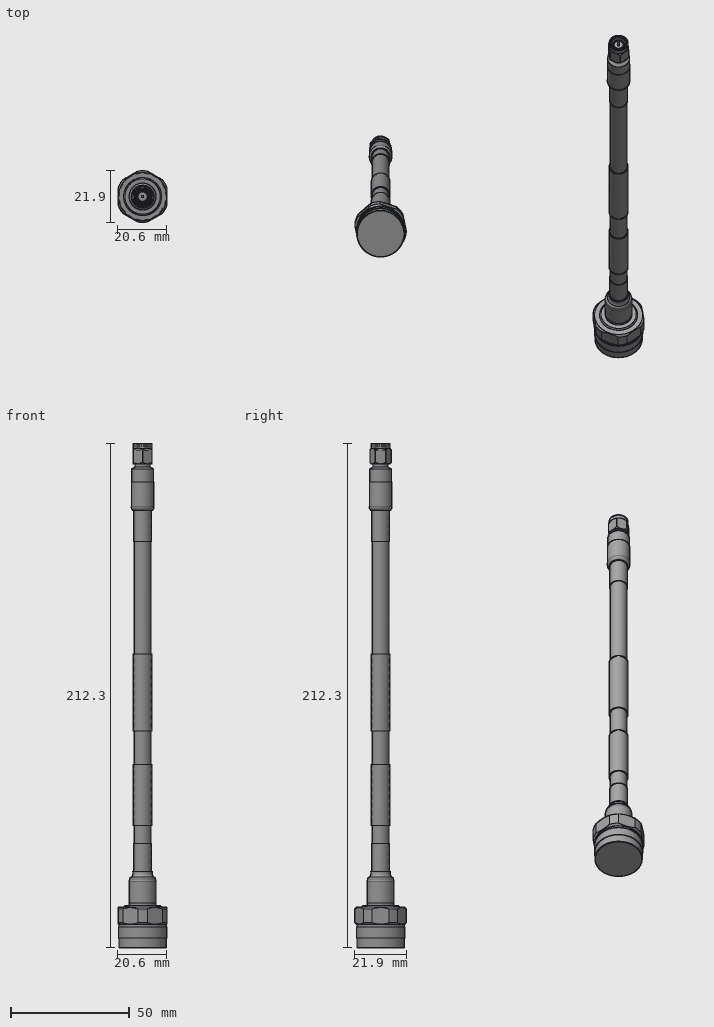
import cadquery as cq
import math


TOTAL_LENGTH = 212.32
ARC_MIDDLE = math.sqrt(0.5)

CABLE_RADIUS = 3.55
BOOT_RADIUS = 3.8
MARKER_RADIUS = 4.0
CABLE_BOTTOM = 32.2
CABLE_TOP = 184.0
LOWER_BOOT_LENGTH = 11.6
UPPER_BOOT_LENGTH = 12.9
MARKER_SPANS = [(51.5, 77.1), (91.2, 123.7)]

N_SKIRT_RADIUS = 10.0
N_SKIRT_END_CHAMFER = 0.2
N_BAND_RADIUS = 10.2
N_BAND_BOTTOM = 4.2
N_BAND_TOP = 8.7
N_NUT_BOTTOM = 9.8
N_NUT_TOP = 17.1
N_NUT_FLATS = 20.6
N_NUT_CORNER_RADIUS = 21.85 / 2
N_NUT_CHAMFER_RADIAL = 0.8
N_NUT_CHAMFER_HEIGHT = 0.75
N_COLLAR_RADIUS = 8.0
N_COLLAR_HEIGHT = 0.6
N_COLLAR_CHAMFER = 0.55
N_BARREL_RADIUS = 5.7
N_BARREL_BOTTOM = 18.8
N_BARREL_NECK_RADIUS = 5.65
N_TAPER_BOTTOM = 27.9
N_TAPER_TOP_RADIUS = 5.5
N_THROAT_RADIUS = 4.15
N_BARREL_TOP = 29.7
N_BARREL_FILLET = 0.8

SMA_REAR_RADIUS = 4.75
SMA_REAR_END_RADIUS = 4.0
SMA_REAR_END_HEIGHT = 1.8
SMA_FRONT_RADIUS = 4.65
SMA_FRONT_BOTTOM = 196.0
SMA_FRONT_TOP = 201.5
SMA_CONE_HEIGHT = 0.85
SMA_NECK_RADIUS = 3.2
SMA_NUT_FLATS = 8.0
SMA_NUT_CORNER_RADIUS = 4.55
SMA_NUT_BOTTOM = 203.7
SMA_NUT_TOP = 210.2
SMA_NUT_CHAMFER_HEIGHT = 0.6
SMA_RIM_RADIUS = 4.0
SMA_BORE_RADIUS = 3.1
SMA_BORE_CHAMFER = 0.4
SMA_BORE_DEPTH = 3.0
SMA_STEP_RADIUS = 2.7
SMA_STEP_HEIGHT = 1.0
SMA_SOCKET_RADIUS = 2.3
SMA_SOCKET_LENGTH = 2.0
SMA_DIELECTRIC_RADIUS = 2.0
SMA_DIELECTRIC_RECESS = 0.4
SMA_PIN_RADIUS = 0.46
SMA_PIN_LENGTH = 1.2


def cylinder(radius, bottom, top):
    return cq.Workplane("XY").workplane(offset=bottom).circle(radius).extrude(top - bottom)


def tube(outer_radius, bottom, top):
    """Sleeve that fits tightly on the cable."""
    return cylinder(outer_radius, bottom, top).cut(cylinder(CABLE_RADIUS, bottom, top))


def hex_nut(flats, corner_radius, bottom, top, chamfer_radial, chamfer_height):
    """Hexagon with corners on +Y and -Y, turned to corner_radius and chamfered at both ends."""
    height = top - bottom
    hexagon = (
        cq.Workplane("XY")
        .workplane(offset=bottom)
        .polygon(6, flats / math.cos(math.pi / 6))
        .extrude(height)
        .rotate((0, 0, 0), (0, 0, 1), 30)
    )
    turned = cylinder(corner_radius, bottom, top).faces("<Z or >Z").chamfer(chamfer_height, chamfer_radial)
    return hexagon.intersect(turned)


def make_n_barrel(bottom):
    """Barrel with a tapered, rounded shoulder and a flared throat under the boot."""
    shoulder_radius = N_TAPER_TOP_RADIUS - N_BARREL_FILLET
    barrel_outline = (
        cq.Workplane("XZ")
        .moveTo(0, bottom)
        .lineTo(N_BARREL_NECK_RADIUS, bottom)
        .lineTo(N_BARREL_NECK_RADIUS, N_BARREL_BOTTOM)
        .lineTo(N_BARREL_RADIUS, N_BARREL_BOTTOM)
        .lineTo(N_BARREL_RADIUS, N_TAPER_BOTTOM)
        .lineTo(N_TAPER_TOP_RADIUS, N_BARREL_TOP - N_BARREL_FILLET)
        .threePointArc(
            (
                shoulder_radius + N_BARREL_FILLET * ARC_MIDDLE,
                N_BARREL_TOP - N_BARREL_FILLET * (1 - ARC_MIDDLE),
            ),
            (shoulder_radius, N_BARREL_TOP),
        )
    )
    sweep_height = CABLE_BOTTOM - N_BARREL_TOP
    sweep_width = shoulder_radius - N_THROAT_RADIUS
    barrel_outline = (
        barrel_outline.threePointArc(
            (
                shoulder_radius - sweep_width * ARC_MIDDLE,
                N_BARREL_TOP + sweep_height * (1 - ARC_MIDDLE),
            ),
            (N_THROAT_RADIUS, CABLE_BOTTOM),
        )
        .lineTo(0, CABLE_BOTTOM)
        .close()
    )
    return barrel_outline.revolve(360, (0, 0, 0), (0, 1, 0))


def make_n_connector():
    skirt = cylinder(N_SKIRT_RADIUS, 0, N_NUT_BOTTOM).faces("<Z").chamfer(N_SKIRT_END_CHAMFER)
    band = cylinder(N_BAND_RADIUS, N_BAND_BOTTOM, N_BAND_TOP)
    nut = hex_nut(
        N_NUT_FLATS,
        N_NUT_CORNER_RADIUS,
        N_NUT_BOTTOM,
        N_NUT_TOP,
        N_NUT_CHAMFER_RADIAL,
        N_NUT_CHAMFER_HEIGHT,
    )
    collar_top = N_NUT_TOP + N_COLLAR_HEIGHT
    collar = cylinder(N_COLLAR_RADIUS, N_NUT_TOP, collar_top).faces(">Z").chamfer(N_COLLAR_CHAMFER)
    barrel = make_n_barrel(collar_top)
    return skirt.union(band).union(nut).union(collar).union(barrel)


def make_sma_rear_end():
    """Rounded end of the SMA body, drawn in to the boot."""
    end_top = CABLE_TOP + SMA_REAR_END_HEIGHT
    bulge_radius = SMA_REAR_END_RADIUS + (SMA_REAR_RADIUS - SMA_REAR_END_RADIUS) * ARC_MIDDLE
    bulge_z = end_top - SMA_REAR_END_HEIGHT * ARC_MIDDLE
    return (
        cq.Workplane("XZ")
        .moveTo(0, CABLE_TOP)
        .lineTo(SMA_REAR_END_RADIUS, CABLE_TOP)
        .threePointArc((bulge_radius, bulge_z), (SMA_REAR_RADIUS, end_top))
        .lineTo(0, end_top)
        .close()
        .revolve(360, (0, 0, 0), (0, 1, 0))
    )


def make_sma_connector():
    rear = cylinder(SMA_REAR_RADIUS, CABLE_TOP + SMA_REAR_END_HEIGHT, SMA_FRONT_BOTTOM)
    rear = rear.union(make_sma_rear_end())
    front = cylinder(SMA_FRONT_RADIUS, SMA_FRONT_BOTTOM, SMA_FRONT_TOP)
    cone_top = SMA_FRONT_TOP + SMA_CONE_HEIGHT
    cone = (
        cq.Workplane("XZ")
        .moveTo(0, SMA_FRONT_TOP)
        .lineTo(SMA_FRONT_RADIUS, SMA_FRONT_TOP)
        .lineTo(SMA_NECK_RADIUS, cone_top)
        .lineTo(0, cone_top)
        .close()
        .revolve(360, (0, 0, 0), (0, 1, 0))
    )
    neck = cylinder(SMA_NECK_RADIUS, cone_top, SMA_NUT_BOTTOM)
    nut = hex_nut(
        SMA_NUT_FLATS,
        SMA_NUT_CORNER_RADIUS,
        SMA_NUT_BOTTOM,
        SMA_NUT_TOP,
        SMA_NUT_CORNER_RADIUS - SMA_RIM_RADIUS,
        SMA_NUT_CHAMFER_HEIGHT,
    )
    rim = cylinder(SMA_RIM_RADIUS, SMA_NUT_TOP, TOTAL_LENGTH)
    bore_floor = TOTAL_LENGTH - SMA_BORE_DEPTH
    bore = cylinder(SMA_BORE_RADIUS, bore_floor, TOTAL_LENGTH)
    shell = rear.union(front).union(cone).union(neck).union(nut).union(rim).cut(bore)
    mouth_edge = cq.selectors.RadiusNthSelector(0)
    shell = shell.faces(">Z").edges(mouth_edge).chamfer(SMA_BORE_CHAMFER)
    step = cylinder(SMA_STEP_RADIUS, bore_floor, bore_floor + SMA_STEP_HEIGHT)
    socket_top = bore_floor + SMA_SOCKET_LENGTH
    dielectric_top = socket_top - SMA_DIELECTRIC_RECESS
    recess = cylinder(SMA_DIELECTRIC_RADIUS, dielectric_top, socket_top)
    socket = cylinder(SMA_SOCKET_RADIUS, bore_floor, socket_top).cut(recess)
    pin = cylinder(SMA_PIN_RADIUS, dielectric_top, dielectric_top + SMA_PIN_LENGTH)
    return shell.union(step).union(socket).union(pin)


n_connector = make_n_connector()
sma_connector = make_sma_connector()
cable = cylinder(CABLE_RADIUS, CABLE_BOTTOM, CABLE_TOP)
boot_spans = [
    (CABLE_BOTTOM, CABLE_BOTTOM + LOWER_BOOT_LENGTH),
    (CABLE_TOP - UPPER_BOOT_LENGTH, CABLE_TOP),
]
boots = [tube(BOOT_RADIUS, bottom, top) for bottom, top in boot_spans]
markers = [tube(MARKER_RADIUS, bottom, top) for bottom, top in MARKER_SPANS]

result = cq.Compound.makeCompound(
    [body.val() for body in [n_connector, sma_connector, cable, *boots, *markers]]
)